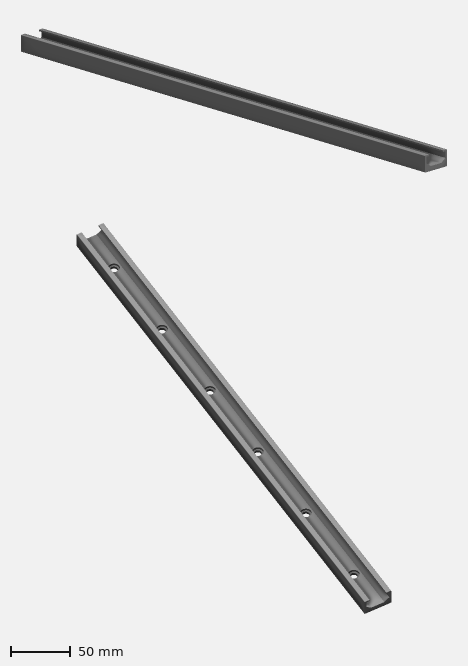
import cadquery as cq

length = 480.0
width = 26.0
height = 15.0

wall = 2.0
lip_opening = 16.5
lip_thickness = 1.5
floor_thickness = 4.5
floor_width = 12.5
haunch_height = 7.5
corner_radius = 0.5

hole_count = 6
hole_pitch = length / hole_count
hole_diameter = 6.0
head_diameter = 9.5
head_depth = 2.0


def channel_profile():
    """C-shaped section in the YZ plane, with inward lips and a sloped floor edge."""
    half_width = width / 2
    half_cavity = half_width - wall
    lip_underside = height - lip_thickness
    right_side = [
        (half_width, 0),
        (half_width, height),
        (lip_opening / 2, height),
        (lip_opening / 2, lip_underside),
        (half_cavity, lip_underside),
        (half_cavity, haunch_height),
        (floor_width / 2, floor_thickness),
    ]
    left_side = [(-y, z) for y, z in reversed(right_side)]
    return cq.Workplane("YZ").polyline(right_side + left_side).close()


def hole_row(diameter, depth):
    """Cylinders sunk from the floor, evenly spaced with half a pitch left at each end."""
    return (
        cq.Workplane("XY", origin=(0, 0, floor_thickness))
        .rarray(hole_pitch, 5, hole_count, 1)
        .circle(diameter / 2)
        .extrude(-depth)
    )


channel = channel_profile().extrude(length / 2, both=True)

rail = channel.faces("<Y or >Y").edges("|X").fillet(corner_radius)

through_holes = hole_row(hole_diameter, floor_thickness)
head_recesses = hole_row(head_diameter, head_depth)

result = rail.cut(through_holes).cut(head_recesses)